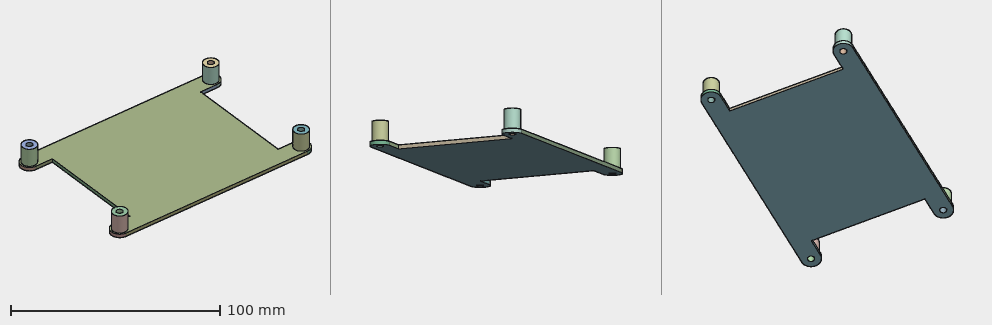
import cadquery as cq

length = 120.0
width = 80.0
height = 12.0

plate_thickness = 2.0
ear_width = 10.0
ear_length = 15.0
ear_radius = ear_width / 2

standoff_diameter = 8.0
hole_diameter = 3.4
standoff_spacing_x = width - ear_width
standoff_spacing_y = length - ear_width


def at_standoffs(workplane):
    """Select the four standoff centres on a workplane."""
    return workplane.rarray(standoff_spacing_x, standoff_spacing_y, 2, 2)


def make_plate():
    """Central panel with two side strips whose round ends form the ears."""
    panel = cq.Workplane("XY").rect(width, length - 2 * ear_length).extrude(plate_thickness)
    strips = (
        cq.Workplane("XY")
        .rarray(standoff_spacing_x, 1.2, 2, 1)
        .rect(ear_width, standoff_spacing_y)
        .extrude(plate_thickness)
    )
    ear_ends = at_standoffs(cq.Workplane("XY")).circle(ear_radius).extrude(plate_thickness)
    return panel.union(strips).union(ear_ends).clean()


def make_standoffs():
    """Solid posts from the plate underside to the full height."""
    return at_standoffs(cq.Workplane("XY")).circle(standoff_diameter / 2).extrude(height)


def make_holes():
    """Cutters that run through the posts and the plate."""
    return at_standoffs(cq.Workplane("XY")).circle(hole_diameter / 2).extrude(height)


result = make_plate().union(make_standoffs()).cut(make_holes())